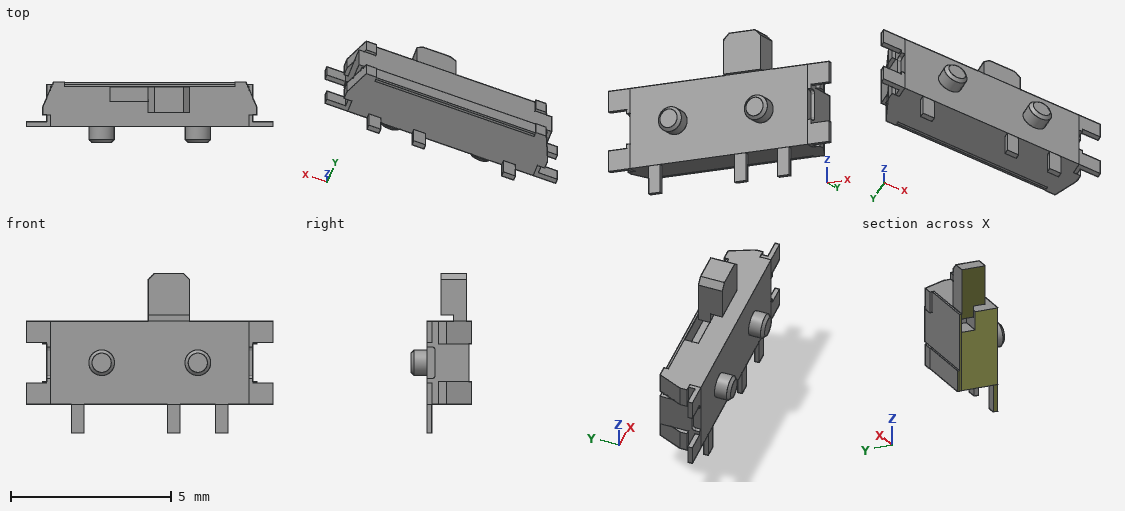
import cadquery as cq


body_height = 2.6
body_depth = 1.4
core_half_length = 3.095
ear_half_length = 3.35
ear_back_half_length = 3.0
ear_height = 0.71
ear_front = 0.37
ear_bevel_start = 0.61
back_recess_half_length = 2.66
retaining_bar_back = 1.385

peg_diameter = 0.8
peg_length = 0.5
peg_chamfer = 0.1
peg_offset = 1.5

cover_front = 1.255
cover_back = 1.325
cover_wall = 0.12
tab_half_length = 3.85
tab_thickness = 0.155
tab_height = 0.67
notch_height = 0.99
notch_depth = 0.255
notch_radius = 0.1

slider_width = 1.3
slot_half_length = 1.25
slot_front = 0.785
slot_back = 1.24
slot_depth = 0.615
slider_reach = 1.49
slider_drop = 0.185
handle_front = 0.44
neck_front = 0.83
neck_height = 0.185
handle_chamfer = 0.2

pin_width = 0.4
pin_length = 0.9
pin_thickness = tab_thickness
pin_positions = (-2.25, 0.75, 2.25)

mid_height = body_height / 2
channel_height = body_height - 2 * ear_height
cover_half_length = core_half_length + cover_wall
slider_top = body_height + slider_reach


def block(x_range, y_range, z_range):
    """Box spanning the given (start, end) ranges."""
    ranges = (x_range, y_range, z_range)
    size = [end - start for start, end in ranges]
    corner = [start for start, end in ranges]
    return cq.Workplane("XY").box(*size, centered=False).translate(tuple(corner))


def symmetric(half_size):
    """Range centred on zero."""
    return (-half_size, half_size)


full_height = (0, body_height)
channel = (ear_height, ear_height + channel_height)


def make_housing():
    half_outline = [
        (0, 0),
        (core_half_length, 0),
        (core_half_length, ear_front),
        (ear_half_length, ear_front),
        (ear_half_length, ear_bevel_start),
        (ear_back_half_length, body_depth),
        (0, body_depth),
    ]
    half = cq.Workplane("XY").polyline(half_outline).close().extrude(body_height)
    housing = half.union(half.mirror("YZ"))

    core = block(symmetric(core_half_length), (0, cover_front), channel)
    channel_band = block(symmetric(ear_half_length), (0, body_depth), channel)
    back_recess = block(symmetric(back_recess_half_length), (cover_front, body_depth), full_height)
    housing = housing.cut(channel_band.cut(core)).cut(back_recess)

    bar = block(symmetric(back_recess_half_length), (cover_back, retaining_bar_back), (0, ear_height))
    housing = housing.union(bar)

    slot = block(
        symmetric(slot_half_length), (slot_front, slot_back), (body_height - slot_depth, body_height)
    )
    housing = housing.cut(slot)

    for x in symmetric(peg_offset):
        peg = (
            cq.Workplane("XZ", origin=(x, 0, mid_height))
            .circle(peg_diameter / 2)
            .extrude(peg_length)
            .faces("<Y")
            .chamfer(peg_chamfer)
        )
        housing = housing.union(peg)
    return housing


def make_cover_end():
    """End wall on the +X side with its two solder tabs."""
    wall_x = (core_half_length, cover_half_length)
    wall = block(wall_x, (0, cover_back), channel)
    wall = wall.union(block(wall_x, (0, ear_front), full_height))

    notch_z = (mid_height - notch_height / 2, mid_height + notch_height / 2)
    notch = block(wall_x, (0, notch_depth), notch_z)
    notch = notch.edges("|X and >Y").fillet(notch_radius)
    wall = wall.cut(notch)

    for z_range in ((0, tab_height), (body_height - tab_height, body_height)):
        tab = block((core_half_length, tab_half_length), (0, tab_thickness), z_range)
        wall = wall.union(tab)
    return wall


def make_cover():
    plate_y = (cover_front, cover_back)
    plate = block(symmetric(back_recess_half_length), plate_y, full_height)
    plate = plate.union(block(symmetric(cover_half_length), plate_y, channel))
    end = make_cover_end()
    return plate.union(end).union(end.mirror("YZ"))


def make_slider():
    slider_x = (slot_half_length - slider_width, slot_half_length)
    neck_top = body_height + neck_height
    handle = block(slider_x, (handle_front, slot_back), (neck_top, slider_top))
    handle = handle.faces(">Z").edges("|Y").chamfer(handle_chamfer)
    neck = block(slider_x, (neck_front, slot_back), (body_height - slider_drop, neck_top))
    return handle.union(neck)


def make_pin(x):
    return block((x - pin_width / 2, x + pin_width / 2), (0, pin_thickness), (-pin_length, 0))


housing = make_housing()
cover = make_cover()
slider = make_slider()
pins = [make_pin(x) for x in pin_positions]

result = cq.Compound.makeCompound(
    [housing.val(), cover.val(), slider.val(), *[pin.val() for pin in pins]]
)